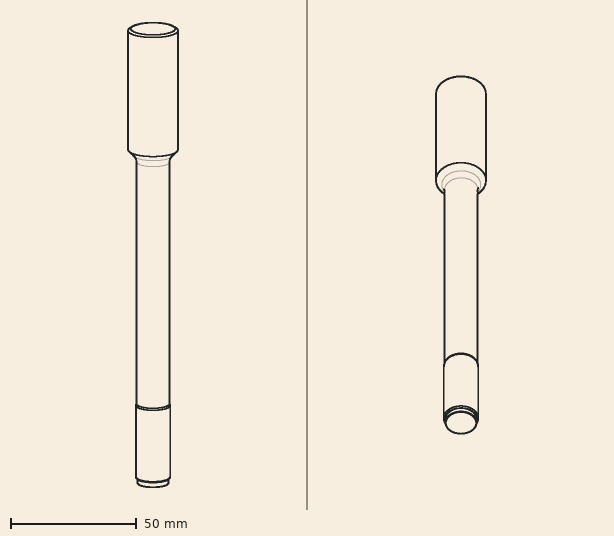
import cadquery as cq

total_length = 188.0

shank_diameter = 20.0
shank_length = 50.0
shank_top_chamfer_height = 0.8
shank_top_chamfer_width = 1.1
neck_diameter = 13.2
neck_fillet_radius = 4.0
shoulder_height = (shank_diameter - neck_diameter) / 2

head_length = 32.9
head_diameter = 13.7
head_top_chamfer_width = (head_diameter - neck_diameter) / 2
head_top_chamfer_height = 0.8
head_bottom_chamfer = 0.5
tip_diameter = 12.5
tip_length = 2.0
tip_chamfer = 0.2


def make_shank():
    """Shank, 45 degree shoulder blended into the neck, and neck down to the head."""
    shank_radius = shank_diameter / 2
    neck_radius = neck_diameter / 2
    shoulder_z = total_length - shank_length
    cone_end_z = shoulder_z - shoulder_height
    profile = (
        cq.Workplane("XZ")
        .moveTo(0, head_length)
        .lineTo(neck_radius, head_length)
        .lineTo(neck_radius, cone_end_z)
        .lineTo(shank_radius, shoulder_z)
        .lineTo(shank_radius, total_length - shank_top_chamfer_height)
        .lineTo(shank_radius - shank_top_chamfer_width, total_length)
        .lineTo(0, total_length)
        .close()
    )
    shank = profile.revolve(360, (0, 0), (0, 1))
    selection_margin = 0.2
    corner = cq.selectors.BoxSelector(
        (-shank_radius, -shank_radius, cone_end_z - selection_margin),
        (shank_radius, shank_radius, cone_end_z + selection_margin),
    )
    return shank.edges("%CIRCLE").edges(corner).fillet(neck_fillet_radius)


def make_head():
    """Cylindrical head with chamfered ends and a short stepped tip."""
    body = (
        cq.Workplane("XY", origin=(0, 0, tip_length))
        .circle(head_diameter / 2)
        .extrude(head_length - tip_length)
        .faces(">Z").chamfer(head_top_chamfer_height, head_top_chamfer_width)
        .faces("<Z").chamfer(head_bottom_chamfer)
    )
    tip = (
        cq.Workplane("XY")
        .circle(tip_diameter / 2)
        .extrude(tip_length)
        .faces("<Z").chamfer(tip_chamfer)
    )
    return body.union(tip)


shank = make_shank()
head = make_head()

result = cq.Compound.makeCompound([shank.val(), head.val()])